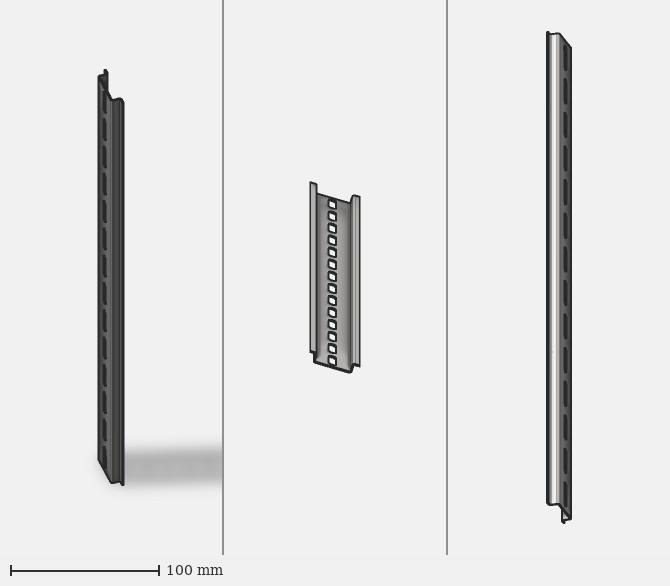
import cadquery as cq

length = 350.0
width = 35.0
depth = 7.5
thickness = 1.0

channel_outer_width = 27.0
inner_bend_radius = 0.8
outer_bend_radius = inner_bend_radius + thickness

slot_count = 14
slot_pitch = length / slot_count
slot_length = 18.0
slot_width = 5.2

web_face = -depth / 2
flange_face = depth / 2
half_width = width / 2
half_outer = channel_outer_width / 2
half_inner = half_outer - thickness


def make_rail():
    """Extrude the hat profile along Z and round its four bends."""
    profile = [
        (-half_outer, web_face),
        (half_outer, web_face),
        (half_outer, flange_face - thickness),
        (half_width, flange_face - thickness),
        (half_width, flange_face),
        (half_inner, flange_face),
        (half_inner, web_face + thickness),
        (-half_inner, web_face + thickness),
        (-half_inner, flange_face),
        (-half_width, flange_face),
        (-half_width, flange_face - thickness),
        (-half_outer, flange_face - thickness),
    ]
    rail = cq.Workplane("XY").polyline(profile).close().extrude(length)
    rail = rail.translate((0, 0, -length / 2))

    def edges_at(points):
        selected = rail.edges(cq.selectors.NearestToPointSelector((*points[0], 0)))
        for point in points[1:]:
            selected = selected.add(rail.edges(cq.selectors.NearestToPointSelector((*point, 0))))
        return selected

    outer_corners = [(side * half_outer, web_face) for side in (-1, 1)]
    outer_corners += [(side * half_inner, flange_face) for side in (-1, 1)]
    inner_corners = [(side * half_inner, web_face + thickness) for side in (-1, 1)]
    inner_corners += [(side * half_outer, flange_face - thickness) for side in (-1, 1)]
    rail = edges_at(outer_corners).fillet(outer_bend_radius)
    return edges_at(inner_corners).fillet(inner_bend_radius)


def make_slots():
    """Vertical slots spaced evenly along the rail, cutting through the web."""
    return (
        cq.Workplane("XZ")
        .rarray(3.5, slot_pitch, 1, slot_count)
        .slot2D(slot_length, slot_width, 90)
        .extrude(depth, both=True)
    )


result = make_rail().cut(make_slots())